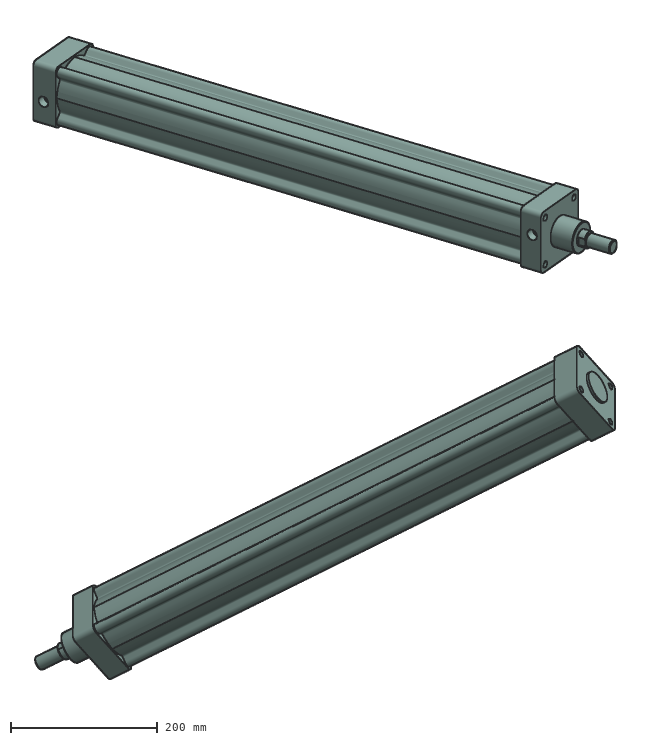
import cadquery as cq
import math

OVERALL_LENGTH = 918.0
REAR_CAP_START = 3.3
REAR_CAP_LENGTH = 37.0
BARREL_START = REAR_CAP_START + REAR_CAP_LENGTH
BARREL_LENGTH = 757.0
FRONT_CAP_START = BARREL_START + BARREL_LENGTH
FRONT_CAP_LENGTH = 33.0
FRONT_CAP_END = FRONT_CAP_START + FRONT_CAP_LENGTH
COLLAR_LENGTH = 36.0
COLLAR_END = FRONT_CAP_END + COLLAR_LENGTH

CAP_SIZE = 94.0
CAP_CORNER_RADIUS = 7.0
COLLAR_DIAMETER = 46.0
COLLAR_CHAMFER = 1.0
SCREW_OFFSET = 36.0
SCREW_HOLE_DIAMETER = 9.0
SCREW_HOLE_DEPTH = 14.0
PORT_DIAMETER = 16.0
PORT_DEPTH = 14.0
PORT_OFFSET = 10.0
REAR_PORT_X = 20.0
FRONT_PORT_X = 816.0

TUBE_RADIUS = 43.0
LOBE_OFFSET = 37.0
LOBE_RADIUS = 7.0
SELECT_MARGIN = 0.5
WEB_ROOT_RADIUS = 3.0
RIDGE_HALF_WIDTH = 9.0

ROD_DIAMETER = 25.0
ROD_SHOULDER_LENGTH = 14.0
SHOULDER_CHAMFER = 2.0
THREAD_DIAMETER = 20.0
THREAD_CHAMFER = 1.4
FLAT_WIDTH = 22.0
FLAT_START = 3.0


def corner_points(offset):
    """Four (Y, Z) points at the given distance from both mid-planes."""
    return [(side_y * offset, side_z * offset) for side_y in (-1, 1) for side_z in (-1, 1)]


def section_plane(x):
    """Workplane across the axis at station x; local axes are Y and Z, extruding toward +X."""
    return cq.Workplane("YZ", origin=(x, 0, 0))


def make_cap(start, length, port_x, port_z):
    """Square end block with rounded long edges and a blind air port in its -Y side."""
    block = section_plane(start).rect(CAP_SIZE, CAP_SIZE).extrude(length)
    block = block.edges("|X").fillet(CAP_CORNER_RADIUS)
    port = (
        cq.Workplane("XZ", origin=(port_x, -CAP_SIZE / 2, port_z))
        .circle(PORT_DIAMETER / 2)
        .extrude(-PORT_DEPTH)
    )
    return block.cut(port)


def make_screw_holes(start):
    """Four corner holes running from station start toward +X."""
    centres = section_plane(start).pushPoints(corner_points(SCREW_OFFSET))
    return centres.circle(SCREW_HOLE_DIAMETER / 2).extrude(SCREW_HOLE_DEPTH)


def make_rear_cap():
    cap = make_cap(REAR_CAP_START, REAR_CAP_LENGTH, REAR_PORT_X, -PORT_OFFSET)
    collar = section_plane(0).circle(COLLAR_DIAMETER / 2).extrude(REAR_CAP_START)
    return cap.union(collar).cut(make_screw_holes(REAR_CAP_START))


def make_front_cap():
    cap = make_cap(FRONT_CAP_START, FRONT_CAP_LENGTH, FRONT_PORT_X, PORT_OFFSET)
    collar = section_plane(FRONT_CAP_END).circle(COLLAR_DIAMETER / 2).extrude(COLLAR_LENGTH)
    collar = collar.faces(">X").chamfer(COLLAR_CHAMFER)
    return cap.union(collar).cut(make_screw_holes(FRONT_CAP_END - SCREW_HOLE_DEPTH))


def make_ridge():
    """Low roof-shaped ridge on the +Z side of the tube, its two faces tangent to the tube."""
    tangent_z = math.sqrt(TUBE_RADIUS**2 - RIDGE_HALF_WIDTH**2)
    peak_z = TUBE_RADIUS**2 / tangent_z
    outline = [(0, 0), (RIDGE_HALF_WIDTH, tangent_z), (0, peak_z), (-RIDGE_HALF_WIDTH, tangent_z)]
    return section_plane(BARREL_START).polyline(outline).close().extrude(BARREL_LENGTH)


def web_root_zone():
    """Box that holds the edges where the webs meet the tube, and none farther out on the webs."""
    root_distance = math.sqrt(TUBE_RADIUS**2 - LOBE_RADIUS**2)
    reach = (root_distance + LOBE_RADIUS) / math.sqrt(2) + SELECT_MARGIN
    return cq.selectors.BoxSelector((BARREL_START, -reach, -reach), (FRONT_CAP_START, reach, reach))


def make_barrel():
    """Extruded profile: ridged tube body, corner lobes and diagonal webs joining them."""
    barrel = section_plane(BARREL_START).circle(TUBE_RADIUS).extrude(BARREL_LENGTH)
    lobe_span = 2 * math.hypot(LOBE_OFFSET, LOBE_OFFSET)
    web = section_plane(BARREL_START).rect(lobe_span, 2 * LOBE_RADIUS).extrude(BARREL_LENGTH)
    for angle in (45, 135):
        barrel = barrel.union(web.rotate((0, 0, 0), (1, 0, 0), angle))
    barrel = barrel.edges("|X").edges(web_root_zone()).fillet(WEB_ROOT_RADIUS)
    lobe_centres = section_plane(BARREL_START).pushPoints(corner_points(LOBE_OFFSET))
    barrel = barrel.union(lobe_centres.circle(LOBE_RADIUS).extrude(BARREL_LENGTH))
    ridge = make_ridge()
    for angle in (0, 90, 180, 270):
        barrel = barrel.union(ridge.rotate((0, 0, 0), (1, 0, 0), angle))
    return barrel


def make_rod():
    """Rod end standing on the front collar: shoulder with two wrench flats, then the thread."""
    shoulder = section_plane(COLLAR_END).circle(ROD_DIAMETER / 2).extrude(ROD_SHOULDER_LENGTH)
    shoulder = shoulder.faces(">X").chamfer(SHOULDER_CHAMFER)
    flat_cutter = (
        section_plane(COLLAR_END + FLAT_START)
        .rect(2 * ROD_DIAMETER, 2 * ROD_DIAMETER)
        .rect(FLAT_WIDTH, 2 * ROD_DIAMETER)
        .extrude(ROD_SHOULDER_LENGTH - FLAT_START)
    )
    thread = section_plane(COLLAR_END).circle(THREAD_DIAMETER / 2).extrude(OVERALL_LENGTH - COLLAR_END)
    thread = thread.faces(">X").chamfer(THREAD_CHAMFER)
    return shoulder.cut(flat_cutter).union(thread)


rear_cap = make_rear_cap()
barrel = make_barrel()
front_cap = make_front_cap()
rod = make_rod()

result = cq.Compound.makeCompound([rear_cap.val(), barrel.val(), front_cap.val(), rod.val()])